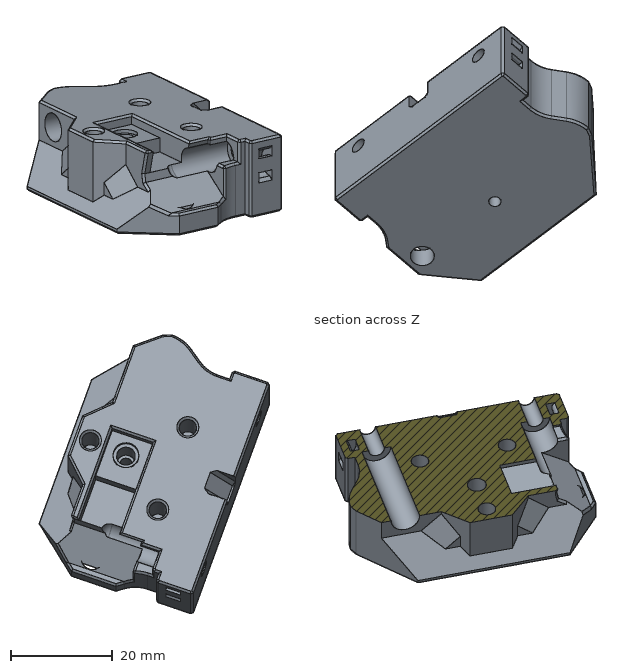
import cadquery as cq
import math

length = 34.65
height = 15.95
left_x = -25.7
right_x = left_x + 49.1
edge_break = 0.45
margin = 0.05

toe_half = 15.5
shoulder_half = 25.0
shoulder_y = 11.4
bulge_half = -left_x
bulge_y = 13.05
flank_start_y = 17.75
flank_end_y = 20.2
flank_angle = math.radians(36)
neck_half = 20.95
neck_arc_y = 24.55
rear_half = 22.85
rear_block_y = 26.85

toe_height = 1.0
front_wall_y = 6.75
nose_root_half = 8.9
nose_tip_half = 4.3
nose_tip_y = 2.05
gusset_y = 3.65
gusset_top_z = 11.25
gusset_outer_half = 13.0

bay_back_y = 21.55
bay_top_x = 16.1
undercut_x = 14.85
undercut_z = 10.95
ramp_top_x = 15.2
ramp_top_z = 9.25
ledge_x = 22.05
ledge_root_x = 21.1
ledge_z = 4.55

recess_x = 16.65
recess_back_y = 25.45
recess_floor_z = 11.4

pocket_left_x = -3.85
pocket_step_x = 5.95
pocket_front_y = 8.4
pocket_back_y = 16.95
pocket_high_z = 13.9
pocket_low_z = undercut_z

top_hole_diameter = 3.4
top_hole_mouth = 4.3
top_hole_depth = 9.8
rear_hole_x = 8.9
rear_hole_y = 22.4
front_hole_y = 5.2
pocket_hole_y = 12.6
pocket_hole_diameter = 2.4
pocket_bore_diameter = 3.65
pocket_bore_depth = 6.9
pocket_rim_diameter = 5.05
pocket_rim_depth = 0.75
bolt_x = 16.2
bolt_z = 11.75
bolt_diameter = 3.2
bolt_head_diameter = 5.8
bolt_seat_y = 28.0
right_bore_start_y = 12.75
right_bore_rounding = 1.7
magnet_diameter = 4.7
magnet_x = 19.6
magnet_depth = 5.0

notch_half = 2.5
notch_front_y = 29.6
notch_corner = 0.8
notch_sill = 0.4

tie_z = 10.55
tie_outer_radius = 2.9
tie_inner_radius = 1.45
tie_lead_in = 0.7
tie_front_y = 29.0
tie_width = 3.05


def box(x0, x1, y0, y1, z0, z1):
    return cq.Workplane("XY").box(x1 - x0, y1 - y0, z1 - z0, centered=False).translate((x0, y0, z0))


def middles_within(low, high):
    """Selector for edges whose middle lies in the box between two corners, grown by a small margin."""
    grow = cq.Vector(margin, margin, margin)
    return cq.selectors.BoxSelector((cq.Vector(*low) - grow).toTuple(), (cq.Vector(*high) + grow).toTuple())


def rod(x, z, y0, y1, diameter):
    """Cylinder along Y from y0 to y1."""
    return cq.Workplane("XZ", origin=(x, y0, z)).circle(diameter / 2).extrude(y0 - y1)


def arc_offset(run, angle):
    """X and Y travel after turning by angle on a flank arc that starts along Y and spans run in Y."""
    radius = run / math.sin(flank_angle)
    return radius * (1 - math.cos(angle)), radius * math.sin(angle)


def body_half():
    """Left half of the body, from the symmetry axis outwards."""
    neck_run = neck_arc_y - flank_end_y
    bulge_run = flank_start_y - bulge_y
    neck_dx, neck_dy = arc_offset(neck_run, flank_angle / 2)
    bulge_dx, bulge_dy = arc_offset(bulge_run, flank_angle / 2)
    flank_end_half = neck_half + arc_offset(neck_run, flank_angle)[0]
    flank_start_half = bulge_half - arc_offset(bulge_run, flank_angle)[0]
    half = (
        cq.Workplane("XY")
        .moveTo(0, 0)
        .lineTo(-toe_half, 0)
        .lineTo(-shoulder_half, shoulder_y)
        .lineTo(-bulge_half, bulge_y)
        .threePointArc((-bulge_half + bulge_dx, bulge_y + bulge_dy), (-flank_start_half, flank_start_y))
        .lineTo(-flank_end_half, flank_end_y)
        .threePointArc((-neck_half - neck_dx, neck_arc_y - neck_dy), (-neck_half, neck_arc_y))
        .lineTo(-neck_half, rear_block_y)
        .lineTo(-rear_half, rear_block_y)
        .lineTo(-rear_half, length)
        .lineTo(0, length)
        .close()
        .extrude(height)
    )
    rear_corners = middles_within((-rear_half, rear_block_y, 0), (-rear_half, length, height))
    return half.edges("|Z").edges(rear_corners).chamfer(edge_break)


def front_cut():
    """Space above the 45 degree front slope and around the nose."""
    above_slope = (
        cq.Workplane("YZ", origin=(left_x, 0, 0))
        .moveTo(0, toe_height)
        .lineTo(height - toe_height, height)
        .lineTo(0, height)
        .close()
        .extrude(right_x - left_x)
    )
    ahead_of_wall = box(left_x, right_x, 0, front_wall_y, 0, height)
    nose = (
        cq.Workplane("XY")
        .polyline([
            (-nose_root_half, front_wall_y),
            (-nose_tip_half, nose_tip_y),
            (nose_tip_half, nose_tip_y),
            (nose_root_half, front_wall_y),
        ])
        .close()
        .extrude(height)
    )
    return above_slope.intersect(ahead_of_wall).cut(nose)


def gusset():
    """Block in the left corner between nose and front wall, topped by a slanted face."""
    inner_half = nose_root_half + gusset_y - front_wall_y
    top = cq.Vector(-nose_root_half, front_wall_y, gusset_top_z)
    outer = cq.Vector(-gusset_outer_half, front_wall_y, toe_height + front_wall_y)
    low = cq.Vector(-nose_root_half, gusset_y, toe_height + gusset_y)
    along = top - outer
    slant = cq.Plane(origin=top, xDir=along, normal=along.cross(top - low))
    below_slant = cq.Workplane(slant).rect(2 * length, 2 * length).extrude(-length)
    block = box(-gusset_outer_half, -inner_half, gusset_y, front_wall_y, toe_height, height)
    return block.intersect(below_slant)


def side_bay():
    """Everything right of the undercut wall and above the ramp, which runs on past the ledge."""
    ramp_slope = (ramp_top_z - ledge_z) / (ledge_x - ramp_top_x)
    ramp_end_z = ledge_z - ramp_slope * (bulge_half - ledge_x)
    return (
        cq.Workplane("XZ", origin=(0, bay_back_y, 0))
        .polyline([
            (bay_top_x, height),
            (undercut_x, undercut_z),
            (ramp_top_x, ramp_top_z),
            (bulge_half, ramp_end_z),
            (bulge_half, height),
        ])
        .close()
        .extrude(bay_back_y)
    )


def top_pocket():
    """Pocket with a high and a low floor, open to the side bay."""
    high = box(pocket_left_x, ramp_top_x, pocket_front_y, pocket_back_y, pocket_high_z, height)
    low = box(pocket_step_x, ramp_top_x, pocket_front_y, pocket_back_y, pocket_low_z, height)
    over_bay = box(ramp_top_x, bay_top_x + 0.5, pocket_front_y, pocket_back_y, pocket_low_z, height)
    return high.union(low).union(over_bay)


def top_hole(x, y):
    """Blind hole from the top with a countersunk mouth."""
    mouth = (top_hole_mouth - top_hole_diameter) / 2
    hole = cq.Workplane("XY", origin=(x, y, height)).circle(top_hole_diameter / 2).extrude(-top_hole_depth)
    cone = cq.Solid.makeCone(
        top_hole_mouth / 2, top_hole_diameter / 2, mouth, pnt=cq.Vector(x, y, height), dir=cq.Vector(0, 0, -1)
    )
    return hole.union(cq.Workplane(cone))


def pocket_hole():
    """Stepped through hole in the high floor of the top pocket."""
    floor = cq.Workplane("XY", origin=(0, pocket_hole_y, pocket_high_z))
    through = floor.circle(pocket_hole_diameter / 2).extrude(-height)
    bore = floor.circle(pocket_bore_diameter / 2).extrude(-pocket_bore_depth)
    rim = floor.circle(pocket_rim_diameter / 2).extrude(-pocket_rim_depth)
    return through.union(bore).union(rim)


def bolt_holes():
    """Two counterbored holes along Y; the right bore starts inside with a rounded end."""
    left = rod(-bolt_x, bolt_z, 0, length, bolt_diameter)
    left = left.union(rod(-bolt_x, bolt_z, 0, bolt_seat_y, bolt_head_diameter))
    right = rod(bolt_x, bolt_z, right_bore_start_y, bolt_seat_y, bolt_head_diameter)
    right = right.faces("<Y").edges().fillet(right_bore_rounding)
    right = right.union(rod(bolt_x, bolt_z, bolt_seat_y, length, bolt_diameter))
    return left.union(right)


def rear_notch():
    """Chamfered slot swept backwards and down at 45 degrees."""
    run = length - notch_front_y - notch_sill
    floor_z = height - run
    prism = (
        cq.Workplane("YZ", origin=(-notch_half, 0, 0))
        .polyline([
            (notch_front_y, height),
            (length - notch_sill, floor_z),
            (length, floor_z),
            (length, height),
        ])
        .close()
        .extrude(2 * notch_half)
    )
    floor_corners = middles_within(
        (-notch_half, notch_front_y, floor_z), (notch_half, length - notch_sill / 2, height - notch_corner)
    ) - cq.selectors.ParallelDirSelector(cq.Vector(1, 0, 0))
    return prism.edges(floor_corners).chamfer(notch_corner)


def tie_channel():
    """Half-ring channel with flared mouths in the left end face."""
    centre_x = -rear_half + tie_lead_in
    plane = cq.Workplane("XZ", origin=(centre_x, tie_front_y, tie_z))
    mouth = tie_outer_radius + tie_lead_in
    flare = (
        plane
        .polyline([
            (-tie_lead_in, -mouth),
            (0, -tie_outer_radius),
            (0, tie_outer_radius),
            (-tie_lead_in, mouth),
        ])
        .close()
        .extrude(-tie_width)
    )
    ring = plane.circle(tie_outer_radius).extrude(-tie_width)
    core = plane.circle(tie_inner_radius).extrude(-tie_width)
    stem = plane.center(-tie_lead_in, 0).rect(2 * tie_lead_in, 2 * tie_inner_radius).extrude(-tie_width)
    outside = plane.center(-tie_lead_in - mouth, 0).rect(2 * mouth, 2 * mouth).extrude(-tie_width)
    return ring.union(flare).cut(core).cut(stem).cut(outside)


def bay_rim():
    """Selector for the outer edges of the wall end, ramp, bay back and recess."""
    flank_x = neck_half - edge_break
    wall_end = middles_within(
        (undercut_x, front_wall_y, toe_height + front_wall_y), (ledge_x, front_wall_y, height)
    )
    ramp_and_bay_back = middles_within(
        (flank_x, front_wall_y, ledge_z / 2 + 0.5), (right_x, neck_arc_y, recess_floor_z)
    )
    recess_sill = middles_within(
        (recess_x, bay_back_y, recess_floor_z), (flank_x, bay_back_y, recess_floor_z)
    )
    recess_corner = middles_within((flank_x, neck_arc_y, recess_floor_z), (right_x, recess_back_y, height))
    return wall_end + ramp_and_bay_back + recess_sill + recess_corner


def ledge_block():
    """Flat ledge at the outer foot of the ramp with its outer rim chamfered."""
    block = base.intersect(box(ledge_root_x, right_x, 0, bay_back_y, 0, ledge_z))
    rim = middles_within((ledge_root_x + edge_break, 0, ledge_z), (right_x, bay_back_y - edge_break, ledge_z))
    return block.edges(rim).chamfer(edge_break)


def magnet_pocket():
    """Round pocket from below, deep enough to break through the ramp near its foot."""
    centre = cq.Workplane("XY", origin=(magnet_x, pocket_hole_y, 0))
    return centre.circle(magnet_diameter / 2).extrude(magnet_depth)


def recess():
    return box(recess_x, bulge_half, bay_back_y, recess_back_y, recess_floor_z, height)


left_half = body_half()
base = left_half.union(left_half.mirror("YZ")).clean()
base = base.intersect(box(left_x, right_x, 0, length, 0, height))
base = base.faces("<Z").chamfer(edge_break)
base = base.cut(front_cut())

result = base.cut(side_bay()).cut(recess())
result = result.edges(bay_rim()).chamfer(edge_break).union(ledge_block())
result = result.cut(top_pocket())
result = result.faces(">Z").chamfer(edge_break)

left_gusset = gusset()
result = result.union(left_gusset).union(left_gusset.mirror("YZ"))

for hole_x, hole_y in [(-rear_hole_x, rear_hole_y), (rear_hole_x, rear_hole_y), (0, front_hole_y)]:
    result = result.cut(top_hole(hole_x, hole_y))
result = result.cut(pocket_hole()).cut(bolt_holes()).cut(magnet_pocket())

left_channel = tie_channel()
result = result.cut(rear_notch())
result = result.cut(left_channel).cut(left_channel.mirror("YZ"))